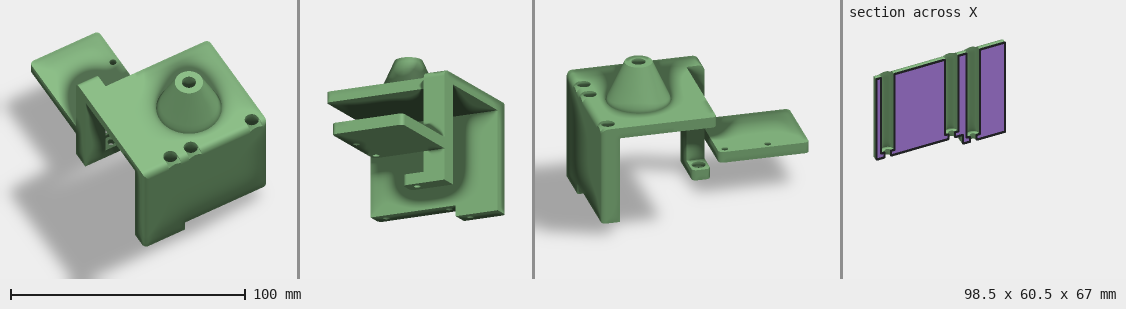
import cadquery as cq

length = 98.5
depth = 60.5
total_height = 67.0
frame_height = 49.25

roof_thickness = 4.8
leg_width = 8.1
wall_thickness = 8.0
leg_left = 39.8
leg_right = leg_left + leg_width
leg_depth = 9.9
wall_left = length - wall_thickness
foot_height = 4.8
foot_depth = 20.0
edge_radius = 3.0
corner_radius = 2.0

shelf_depth = 33.9
shelf_thickness = 5.0
shelf_bottom = 13.9
shelf_top = shelf_bottom + shelf_thickness
shelf_joint_radius = 0.9

boss_x = 75.6
boss_y = 35.0
boss_base_diameter = 28.0
boss_top_diameter = 12.0
boss_height = total_height - frame_height

hole_diameter = 3.0
bore_diameter = 6.0
seat_thickness = 3.0
foot_hole_y = 15.0
wall_hole_ys = (foot_hole_y, 25.0, 55.0)
wall_hole_x = length - wall_thickness / 2
shelf_hole_xs = (17.6, 36.5)
shelf_hole_y = 30.9


def block(x_range, y_range, z_range):
    """Box spanning the given (low, high) ranges."""
    spans = [high - low for low, high in (x_range, y_range, z_range)]
    corner = (x_range[0], y_range[0], z_range[0])
    return cq.Workplane("XY").box(*spans, centered=False).translate(corner)


def cylinder(x, y, bottom, top, diameter):
    """Vertical cylinder between two heights."""
    return cq.Workplane("XY", origin=(x, y, bottom)).circle(diameter / 2).extrude(top - bottom)


def counterbored_hole(x, y, bottom, top):
    """Cutter for a screw hole whose head bore opens upward."""
    shank = cylinder(x, y, bottom, top, hole_diameter)
    head = cylinder(x, y, bottom + seat_thickness, top, bore_diameter)
    return shank.union(head)


def make_roof():
    roof = block((leg_right, length), (0, depth), (frame_height - roof_thickness, frame_height))
    return roof.edges("|Z and >Y and <X").fillet(corner_radius)


def make_right_wall():
    wall = block((wall_left, length), (0, depth), (foot_height, frame_height))
    return wall.union(block((wall_left, length), (0, foot_depth), (0, foot_height)))


def make_left_leg():
    leg = block((leg_left, leg_right), (0, leg_depth), (0, frame_height))
    leg = leg.edges("|Y and <X and >Z").fillet(edge_radius)
    foot = block((leg_left, leg_right), (0, foot_depth), (0, foot_height))
    return leg.union(foot.edges("|Z and >Y").fillet(corner_radius))


def make_shelf():
    shelf = block((0, leg_left), (0, shelf_depth), (shelf_bottom, shelf_top))
    return shelf.edges("|Z").edges("<X or >Y").fillet(corner_radius)


def make_shelf_joint():
    """Concave fillet between the shelf top and the left leg."""
    return (
        cq.Workplane("XZ", origin=(leg_left, 0, shelf_top))
        .lineTo(0, shelf_joint_radius)
        .radiusArc((-shelf_joint_radius, 0), shelf_joint_radius)
        .close()
        .extrude(-leg_depth)
    )


def make_rim_strip(y):
    """Strip across the rounded right edge at one wall hole."""
    half_width = bore_diameter / 2
    return block(
        (length - edge_radius, length),
        (y - half_width, y + half_width),
        (frame_height - edge_radius, frame_height),
    )


def make_rim_cone(y):
    """45-degree cone that falls outward from the rim of one wall hole's head bore."""
    rim_radius = bore_diameter / 2
    return (
        cq.Workplane("XY", origin=(wall_hole_x, y, frame_height))
        .circle(rim_radius)
        .workplane(offset=-edge_radius)
        .circle(rim_radius + edge_radius)
        .loft(ruled=True)
    )


def make_boss():
    return (
        cq.Workplane("XY", origin=(boss_x, boss_y, frame_height))
        .circle(boss_base_diameter / 2)
        .workplane(offset=boss_height)
        .circle(boss_top_diameter / 2)
        .loft(ruled=True)
    )


envelope_block = block((leg_right, length), (0, depth), (0, frame_height))
envelope = envelope_block.edges("|Z and >X").fillet(corner_radius)
envelope = envelope.intersect(envelope_block.edges("|Y and >X and >Z").fillet(edge_radius))
result = make_roof().union(make_right_wall()).intersect(envelope)

for hole_y in wall_hole_ys:
    strip = make_rim_strip(hole_y)
    result = result.cut(strip).union(strip.intersect(make_rim_cone(hole_y)))

result = result.union(make_left_leg()).union(make_shelf()).union(make_shelf_joint()).union(make_boss())

result = result.cut(cylinder(boss_x, boss_y, frame_height, total_height, bore_diameter))

result = result.cut(counterbored_hole((leg_left + leg_right) / 2, foot_hole_y, 0, foot_height))
for hole_y in wall_hole_ys:
    hole_bottom = 0 if hole_y < foot_depth else foot_height
    result = result.cut(counterbored_hole(wall_hole_x, hole_y, hole_bottom, frame_height))
for hole_x in shelf_hole_xs:
    result = result.cut(cylinder(hole_x, shelf_hole_y, shelf_bottom, shelf_top, hole_diameter))